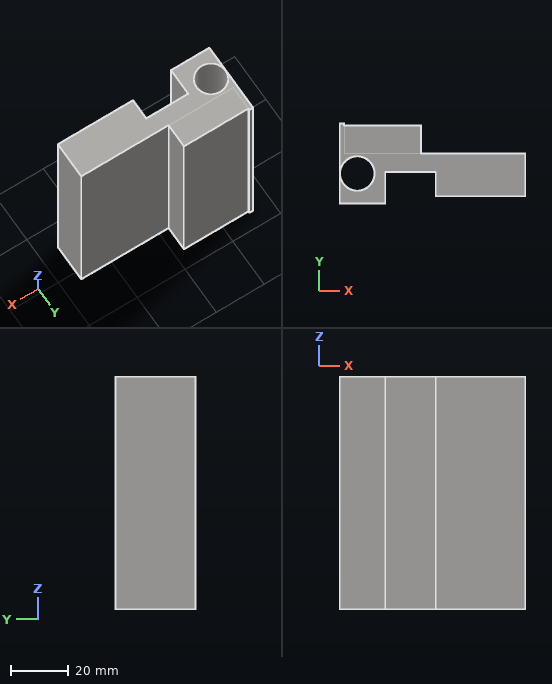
import cadquery as cq

width = 65.0
depth = 28.0
height = 81.5

post_width = 16.05
groove_end = 33.6
groove_floor = 11.0
block_front = 2.5
plate_back = 17.5

lip_thickness = 1.55

bar_length = 27.0
bar_depth = 9.9

hole_diameter = 12.0
hole_x = 6.2
hole_y = 10.5


def make_body():
    """Constant section: post, grooved plate and lip, extruded along Z."""
    outline = [
        (0, 0),
        (post_width, 0),
        (post_width, groove_floor),
        (groove_end, groove_floor),
        (groove_end, block_front),
        (width, block_front),
        (width, plate_back),
        (lip_thickness, plate_back),
        (lip_thickness, depth),
        (0, depth),
    ]
    return cq.Workplane("XY").polyline(outline).close().extrude(height)


def make_bar():
    """Full-height bar behind the plate, flush with the body at both ends."""
    return (
        cq.Workplane("XY")
        .box(bar_length, bar_depth, height, centered=False)
        .translate((lip_thickness, plate_back, 0))
    )


def make_hole():
    """Cylinder that removes the full-height hole."""
    return cq.Workplane("XY").center(hole_x, hole_y).circle(hole_diameter / 2).extrude(height)


result = make_body().cut(make_hole()).union(make_bar(), clean=False)